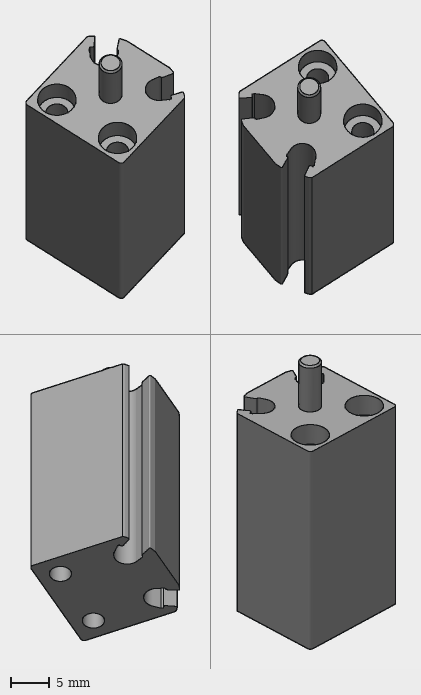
import cadquery as cq
import math

WIDTH = 16.0
HALF_WIDTH = WIDTH / 2
TOTAL_HEIGHT = 37.5
HOUSING_HEIGHT = 30.5
CORNER_RADIUS = 0.5

HOLE_OFFSET = 5.0
HOLE_DIAMETER = 2.9
COUNTERBORE_DIAMETER = 5.0
COUNTERBORE_DEPTH = 3.0

SLOT_RADIUS = 1.75
SLOT_X = 4.55
SLOT_Y = 4.42
SLOT_ARC_START = 163.0
SLOT_ARC_END = 315.0
SLOT_FLANK_LENGTH = 1.15
INNER_BEVEL_X = 3.52
OUTER_BEVEL_Y = 5.4
CUTTER_MARGIN = 0.38

ROD_DIAMETER = 3.0
ROD_TIP_DIAMETER = 2.48
ROD_CHAMFER = (ROD_DIAMETER - ROD_TIP_DIAMETER) / 2


def slot_point(angle, along=0.0):
    """Point on the slot circle, moved counterclockwise along its tangent."""
    a = math.radians(angle)
    return (
        SLOT_X + SLOT_RADIUS * math.cos(a) - along * math.sin(a),
        SLOT_Y + SLOT_RADIUS * math.sin(a) + along * math.cos(a),
    )


def corner_slot():
    """Cutter for the +X +Y corner: slot, its snap notches and the bevelled lips."""
    outside = HALF_WIDTH + CUTTER_MARGIN
    return (
        cq.Workplane("XY")
        .moveTo(INNER_BEVEL_X, outside)
        .lineTo(INNER_BEVEL_X, HALF_WIDTH)
        .lineTo(4.35, 7.75)
        .threePointArc((4.45, 7.65), (4.42, 7.5))
        .lineTo(3.8, 6.3)
        .lineTo(3.65, 6.1)
        .threePointArc((3.4, 6.1), (3.25, 5.92))
        .lineTo(*slot_point(SLOT_ARC_START))
        .threePointArc(
            slot_point((SLOT_ARC_START + SLOT_ARC_END) / 2),
            slot_point(SLOT_ARC_END),
        )
        .lineTo(*slot_point(SLOT_ARC_END, SLOT_FLANK_LENGTH))
        .lineTo(6.7, 4.3)
        .lineTo(6.45, 4.45)
        .threePointArc((6.38, 4.6), (6.45, 4.8))
        .lineTo(7.12, 5.9)
        .threePointArc((7.25, 6.0), (7.4, 5.95))
        .lineTo(7.8, 5.65)
        .lineTo(HALF_WIDTH, OUTER_BEVEL_Y)
        .lineTo(outside, OUTER_BEVEL_Y)
        .lineTo(outside, outside)
        .close()
        .extrude(HOUSING_HEIGHT)
    )


def build_housing():
    """Square block with two corner slots and two counterbored holes."""
    block = (
        cq.Workplane("XY")
        .box(WIDTH, WIDTH, HOUSING_HEIGHT, centered=(True, True, False))
        .edges("|Z and <Y")
        .fillet(CORNER_RADIUS)
    )
    slot = corner_slot()
    return (
        block.cut(slot)
        .cut(slot.mirror("YZ"))
        .faces(">Z")
        .workplane(origin=(0, 0, HOUSING_HEIGHT))
        .pushPoints([(-HOLE_OFFSET, -HOLE_OFFSET), (HOLE_OFFSET, -HOLE_OFFSET)])
        .cboreHole(HOLE_DIAMETER, COUNTERBORE_DIAMETER, COUNTERBORE_DEPTH)
    )


def build_rod():
    """Chamfered rod standing on the centre of the housing's top face."""
    return (
        cq.Workplane("XY", origin=(0, 0, HOUSING_HEIGHT))
        .circle(ROD_DIAMETER / 2)
        .extrude(TOTAL_HEIGHT - HOUSING_HEIGHT)
        .faces(">Z")
        .chamfer(ROD_CHAMFER)
    )


housing = build_housing()
rod = build_rod()

result = cq.Compound.makeCompound([housing.solids().val(), rod.val()])